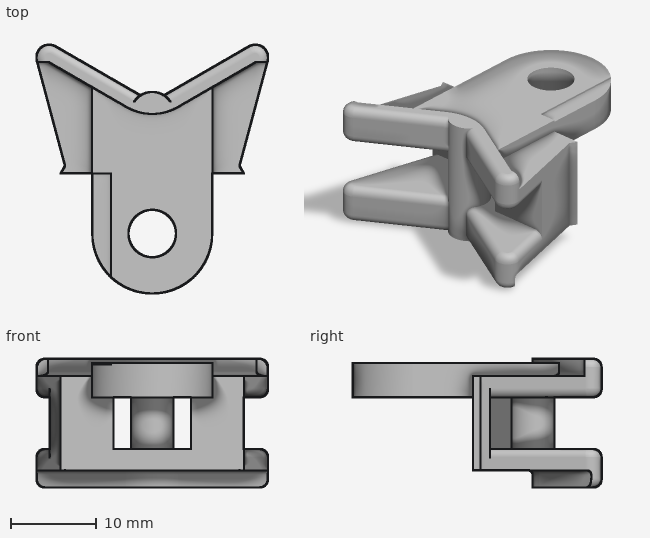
import cadquery as cq
import math


WIDTH = 27.0
HEIGHT = 15.0
FRONT_Y = 22.0
BACK_Y = 7.0

WING_ANGLE = math.radians(30)
FLANK_ANGLE = math.radians(15)
TIP_RADIUS = 1.5
NOTCH_DEPTH = 0.87
FOOT_HALF_WIDTH = 10.67
EDGE_ROUND = 1.0

RIDGE_WIDTH = 2.0
RIDGE_HEIGHT = 2.0
RIDGE_BEND_RADIUS = 6.0
RIDGE_ROOT_FILLET = 0.5
UPPER_RIDGE_END_Y = 20.0

SLOT_BOTTOM = 4.5
SLOT_TOP = 10.5
SLOT_FLOOR_Y = 14.5
BACK_WALL = 2.0
WINDOW_WIDTH = 9.0

PIN_RADIUS = 2.5
PIN_Y = 14.0

TONGUE_RADIUS = 7.0
TONGUE_TOP = 14.5
HOLE_DIAMETER = 5.5
LABEL_STEP_WIDTH = 2.2
LABEL_STEP_DEPTH = 0.2

CLEARANCE = 1.0

TONGUE_THICKNESS = TONGUE_TOP - SLOT_TOP
TIP_X = WIDTH / 2 - TIP_RADIUS
TIP_Y = FRONT_Y - TIP_RADIUS
FLANK_TOP_X = TIP_X + TIP_RADIUS * math.cos(FLANK_ANGLE)
FLANK_TOP_Y = TIP_Y - TIP_RADIUS * math.sin(FLANK_ANGLE)
FLANK_FOOT_Y = BACK_Y + NOTCH_DEPTH
FLANK_FOOT_X = FLANK_TOP_X - (FLANK_TOP_Y - FLANK_FOOT_Y) * math.tan(FLANK_ANGLE)
WING_END_X = TIP_X - TIP_RADIUS * math.sin(WING_ANGLE)
WING_END_Y = TIP_Y + TIP_RADIUS * math.cos(WING_ANGLE)
V_FRONT_Y = WING_END_Y - WING_END_X * math.tan(WING_ANGLE)
V_REAR_Y = V_FRONT_Y - RIDGE_WIDTH / math.cos(WING_ANGLE)


def block(x_size, y_start, y_end, z_start, z_end):
    """Box centred on X = 0 between the given Y and Z limits."""
    return (
        cq.Workplane("XY")
        .box(x_size, y_end - y_start, z_end - z_start, centered=(True, False, False))
        .translate((0, y_start, z_start))
    )


def plan_outline(z_start, z_end):
    """Prism with the plan of the body: flared back, leaning flanks, round tips and V front."""
    tip_mid_angle = (math.pi / 2 + WING_ANGLE - FLANK_ANGLE) / 2
    tip_mid_x = TIP_X + TIP_RADIUS * math.cos(tip_mid_angle)
    tip_mid_y = TIP_Y + TIP_RADIUS * math.sin(tip_mid_angle)
    return (
        cq.Workplane("XY", origin=(0, 0, z_start))
        .moveTo(-FOOT_HALF_WIDTH, BACK_Y)
        .lineTo(FOOT_HALF_WIDTH, BACK_Y)
        .lineTo(FLANK_FOOT_X, FLANK_FOOT_Y)
        .lineTo(FLANK_TOP_X, FLANK_TOP_Y)
        .threePointArc((tip_mid_x, tip_mid_y), (WING_END_X, WING_END_Y))
        .lineTo(0, V_FRONT_Y)
        .lineTo(-WING_END_X, WING_END_Y)
        .threePointArc((-tip_mid_x, tip_mid_y), (-FLANK_TOP_X, FLANK_TOP_Y))
        .lineTo(-FLANK_FOOT_X, FLANK_FOOT_Y)
        .close()
        .extrude(z_end - z_start)
    )


def space_behind_ridge(z_start, z_end):
    """Prism covering everything behind the rear side of the V."""
    half_width = WIDTH
    far_y = -WIDTH
    bend_x = RIDGE_BEND_RADIUS * math.sin(WING_ANGLE)
    bend_y = V_REAR_Y + bend_x * math.tan(WING_ANGLE)
    bend_low_y = bend_y - RIDGE_BEND_RADIUS * (1 - math.cos(WING_ANGLE))
    side_y = V_REAR_Y + half_width * math.tan(WING_ANGLE)
    return (
        cq.Workplane("XY", origin=(0, 0, z_start))
        .moveTo(-half_width, far_y)
        .lineTo(half_width, far_y)
        .lineTo(half_width, side_y)
        .lineTo(bend_x, bend_y)
        .threePointArc((0, bend_low_y), (-bend_x, bend_y))
        .lineTo(-half_width, side_y)
        .close()
        .extrude(z_end - z_start)
    )


def wing_plate(z_start, z_end):
    """Wing layer with its V front, tips and flanks rounded on both faces."""
    plate = plan_outline(z_start, z_end)
    rim_back_y = (BACK_Y + SLOT_FLOOR_Y) / 2
    rim = cq.selectors.BoxSelector(
        (-WIDTH, rim_back_y, z_start - CLEARANCE),
        (WIDTH, WIDTH, z_end + CLEARANCE),
    )
    return plate.faces("<Z or >Z").edges(rim).fillet(EDGE_ROUND)


def cut_ridge_backs(body):
    """Lower the body behind both ridges, leaving a fillet at each ridge root."""
    along_v = cq.selectors.BoxSelector((-FRONT_Y, 0, -HEIGHT), (FRONT_Y, FRONT_Y, 2 * HEIGHT))
    upper = space_behind_ridge(HEIGHT - RIDGE_HEIGHT, HEIGHT + CLEARANCE)
    upper = upper.faces("<Z").edges(along_v).fillet(RIDGE_ROOT_FILLET)
    upper = upper.intersect(block(2 * WIDTH, -WIDTH, UPPER_RIDGE_END_Y, 0, HEIGHT + CLEARANCE))
    lower = space_behind_ridge(-CLEARANCE, RIDGE_HEIGHT)
    lower = lower.faces(">Z").edges(along_v).fillet(RIDGE_ROOT_FILLET)
    return body.cut(upper).cut(lower)


def make_core():
    """Solid behind the slot; on the +X side the slot runs deeper, up to a thin back wall."""
    core = plan_outline(0, HEIGHT).intersect(block(2 * WIDTH, BACK_Y, SLOT_FLOOR_Y, 0, HEIGHT))
    deep_slot = block(WIDTH, BACK_Y + BACK_WALL, WIDTH, 0, HEIGHT)
    return core.cut(deep_slot.translate(((WINDOW_WIDTH + WIDTH) / 2, 0, 0)))


def make_pin():
    return cq.Workplane("XY").center(0, PIN_Y).circle(PIN_RADIUS).extrude(HEIGHT)


def make_body():
    """Core, wings and pin, with the pin kept whole inside the window."""
    lower_wings = wing_plate(0, SLOT_BOTTOM)
    upper_wings = wing_plate(SLOT_TOP, HEIGHT)
    window = block(WINDOW_WIDTH, 0, WIDTH, SLOT_BOTTOM, SLOT_TOP)
    body = make_core().union(lower_wings).union(upper_wings).cut(window).union(make_pin())
    return cut_ridge_backs(body)


def make_tongue():
    """Round-ended tongue reaching forward to the upper ridge."""
    straight = block(2 * TONGUE_RADIUS, 0, FRONT_Y, SLOT_TOP, TONGUE_TOP)
    round_end = (
        cq.Workplane("XY", origin=(0, 0, SLOT_TOP))
        .circle(TONGUE_RADIUS)
        .extrude(TONGUE_THICKNESS)
    )
    return straight.union(round_end).intersect(space_behind_ridge(SLOT_TOP, TONGUE_TOP))


def make_hole():
    return (
        cq.Workplane("XY", origin=(0, 0, SLOT_TOP))
        .circle(HOLE_DIAMETER / 2)
        .extrude(TONGUE_THICKNESS)
    )


def make_label_step():
    """Shallow step along the -X edge of the tongue, behind the body."""
    step_x = LABEL_STEP_WIDTH / 2 - TONGUE_RADIUS
    step = block(LABEL_STEP_WIDTH, -TONGUE_RADIUS, BACK_Y, TONGUE_TOP - LABEL_STEP_DEPTH, TONGUE_TOP)
    return step.translate((step_x, 0, 0))


result = make_body().union(make_tongue()).cut(make_hole()).cut(make_label_step())